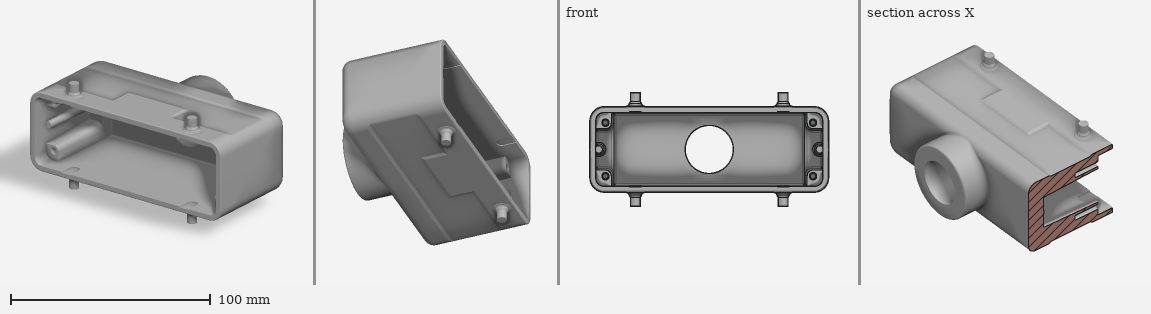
import cadquery as cq
import math


length = 120.0
height = 43.0
depth = 55.0
end_crown = 0.15
corner_radius = 7.5
back_round = 5.0
rim_round = 0.6

wall = 3.0
cavity_corner_radius = 4.0
cavity_draft = 0.5
floor_y = depth - wall
inner_round = 1.0

shelf_y = 45.0
shelf_x = 47.8
shelf_round = 1.3
shelf_foot_round = 0.8
boss_front_y = 9.5
boss_x = 49.1
boss_z = 10.4
boss_corner_radius = 2.7
boss_draft = 1.7
screw_x = 52.0
screw_z = 13.4
screw_diameter = 2.7
screw_mouth_diameter = 3.7
screw_depth = 15.0

rib_x = 55.4
rib_diameter = 3.7
rib_draft = 1.5
rib_foot_round = 0.8

entry_diameter = 41.0
entry_bore_diameter = 24.0
entry_end_y = 69.5
entry_edge_round = 1.0
entry_root_round = 0.8

pin_x = 37.0
pin_y = 6.5
pin_diameter = 5.0
pin_span = 57.0
collar_base_diameter = 9.4
collar_top_diameter = 6.3
collar_toe_diameter = 8.6
collar_toe_height = 0.3
collar_arc_height = 1.4
collar_height = 2.5
pin_slot_width = 5.8
pin_slot_depth = 0.4

recess_depth = 0.8
recess_floor_z = height / 2 - recess_depth
recess_slope_run = 1.7
recess_front_y = 15.0
recess_back_y = 40.4
tongue_half_width = 19.2
tongue_back_y = 27.8
tongue_corner_radius = 1.3
recess_end_round = 3.0

SIDES = (-1, 1)
edge_margin = 0.1
overlap = 1.0


def crowned_outline(half_length, half_height, radius):
    """Rounded rectangle whose end faces rise to a slight crest at Z = 0, on the Y = 0 plane."""
    end_x = half_length - end_crown
    return (
        cq.Sketch()
        .polygon([
            (-half_length, 0),
            (-end_x, half_height),
            (end_x, half_height),
            (half_length, 0),
            (end_x, -half_height),
            (-end_x, -half_height),
            (-half_length, 0),
        ])
        .vertices("<Y or >Y")
        .fillet(radius)
    )


def plane_facing_back(y):
    """XZ plane at the given Y whose normal points to +Y; its local axes are -X and +Z."""
    return cq.Plane(origin=(0, y, 0), xDir=(-1, 0, 0), normal=(0, 1, 0))


def place_in_quadrant(solid, side_x, side_z):
    """Mirror a solid built at +X +Z into the wanted quadrant."""
    if side_x < 0:
        solid = solid.mirror("YZ")
    if side_z < 0:
        solid = solid.mirror("XY")
    return solid


def make_shell():
    outline = crowned_outline(length / 2, height / 2, corner_radius)
    body = cq.Workplane(plane_facing_back(0)).placeSketch(outline).extrude(depth)
    body = body.faces(">Y").edges().fillet(back_round)
    return body.faces("<Y").edges().fillet(rim_round)


def make_cavity():
    outline = crowned_outline(length / 2 - wall, height / 2 - wall, cavity_corner_radius)
    cavity = cq.Workplane(plane_facing_back(0)).placeSketch(outline).extrude(floor_y, taper=cavity_draft)
    for side in SIDES:
        cavity = cavity.cut(make_shelf(side))
    return cavity.faces(">Y").edges().fillet(inner_round)


def make_shelf(side):
    """Block that raises the cavity floor at one end, with a rounded inner edge."""
    shelf = (
        cq.Workplane("XY")
        .box(length / 2 - shelf_x, depth - shelf_y, height, centered=(False, False, True))
        .translate((shelf_x, shelf_y, 0))
    )
    shelf = shelf.edges("<X and <Y").fillet(shelf_round)
    return shelf if side > 0 else shelf.mirror("YZ")


def make_boss(side_x, side_z):
    """Drafted corner block, rounded on its free corner, widening toward the floor."""
    boss = (
        cq.Workplane(plane_facing_back(boss_front_y))
        .moveTo(-length / 2, boss_z)
        .lineTo(-boss_x - boss_corner_radius, boss_z)
        .radiusArc((-boss_x, boss_z + boss_corner_radius), -boss_corner_radius)
        .lineTo(-boss_x, height / 2)
        .lineTo(-length / 2, height / 2)
        .close()
        .extrude(floor_y - boss_front_y + overlap, taper=-boss_draft)
    )
    return place_in_quadrant(boss, side_x, side_z)


def make_screw_hole(side_x, side_z):
    mouth_depth = (screw_mouth_diameter - screw_diameter) / 2
    profile = [
        (0, 0),
        (screw_mouth_diameter / 2, 0),
        (screw_diameter / 2, mouth_depth),
        (screw_diameter / 2, screw_depth),
        (0, screw_depth),
    ]
    hole = cq.Workplane("XY").polyline(profile).close().revolve(360, (0, 0), (0, 1))
    return hole.translate((side_x * screw_x, boss_front_y, side_z * screw_z))


def make_rib(side):
    """Drafted round rib half buried in an end wall, with a flared foot on the shelf."""
    rib_length = shelf_y - boss_front_y
    front_radius = rib_diameter / 2
    foot_radius = front_radius + rib_length * math.tan(math.radians(rib_draft))
    foot_start = rib_length - rib_foot_round
    rib = (
        cq.Workplane("XY")
        .lineTo(front_radius, 0)
        .lineTo(foot_radius, foot_start)
        .radiusArc((foot_radius + rib_foot_round, rib_length), -rib_foot_round)
        .lineTo(foot_radius + rib_foot_round, rib_length + overlap)
        .lineTo(0, rib_length + overlap)
        .close()
        .revolve(360, (0, 0), (0, 1))
    )
    return rib.translate((side * rib_x, boss_front_y, 0))


def make_entry():
    entry = cq.Workplane(plane_facing_back(floor_y)).circle(entry_diameter / 2).extrude(entry_end_y - floor_y)
    return entry.faces(">Y").edges().fillet(entry_edge_round)


def make_pin(side_x, side_z):
    """Pin with a flared collar, standing on a long face and rooted in the wall."""
    face_z = height / 2
    pin_radius = pin_diameter / 2
    base_radius = collar_base_diameter / 2
    toe_radius = collar_toe_diameter / 2
    top_radius = collar_top_diameter / 2
    pin = (
        cq.Workplane("XZ")
        .moveTo(0, face_z - overlap)
        .lineTo(base_radius, face_z - overlap)
        .lineTo(base_radius, face_z)
        .lineTo(toe_radius, face_z + collar_toe_height)
        .radiusArc((top_radius, face_z + collar_arc_height), toe_radius - top_radius)
        .lineTo(pin_radius, face_z + collar_height)
        .lineTo(pin_radius, pin_span / 2)
        .lineTo(0, pin_span / 2)
        .close()
        .revolve(360, (0, 0), (0, 1))
        .translate((pin_x, pin_y, 0))
    )
    return place_in_quadrant(pin, side_x, side_z)


def make_pin_slot(side_x, side_z):
    """Shallow round-ended slot in the cavity wall behind a pin, open at the rim."""
    slot = (
        cq.Workplane("XY")
        .center(pin_x, 0)
        .slot2D(2 * pin_y + pin_slot_width, pin_slot_width, 90)
        .extrude(height / 2 - wall + pin_slot_depth)
    )
    return place_in_quadrant(slot, side_x, side_z)


def recess_outline(grow):
    """Corner points of the recess, moved outward by the given distance."""
    end = length / 2 + overlap
    tongue = tongue_half_width - grow
    front = recess_front_y - grow
    back = recess_back_y + grow
    tongue_back = tongue_back_y - grow
    return [
        (-end, front),
        (-tongue, front),
        (-tongue, tongue_back),
        (tongue, tongue_back),
        (tongue, front),
        (end, front),
        (end, back),
        (-end, back),
    ]


def make_recess(side_z):
    """Cutter for a long face: flat floor around a raised tongue, bounded by sloped walls."""
    cutter = (
        cq.Workplane("XY")
        .workplane(offset=recess_floor_z)
        .polyline(recess_outline(0))
        .close()
        .workplane(offset=recess_depth)
        .polyline(recess_outline(recess_slope_run))
        .close()
        .loft(ruled=True)
    )
    tongue_corners = cq.selectors.BoxSelector(
        (-tongue_half_width, 0, 0), (tongue_half_width, tongue_back_y, height)
    )
    cutter = cutter.edges("not #Z").edges(tongue_corners).fillet(tongue_corner_radius)
    return cutter if side_z > 0 else cutter.mirror("XY")


def round_recess_ends(hood):
    """Round the edges where the recess floors run out through the shell corners."""
    corner_x = length / 2 - corner_radius
    low_z = recess_floor_z - edge_margin
    high_z = recess_floor_z + edge_margin
    for side_x in SIDES:
        for side_z in SIDES:
            run_out = cq.selectors.BoxSelector(
                (side_x * corner_x, recess_front_y, side_z * low_z),
                (side_x * length / 2, recess_back_y, side_z * high_z),
            )
            hood = hood.edges(run_out).edges("|Y").fillet(recess_end_round)
    return hood


def round_entry_root(hood):
    """Fillet the seam between the cable entry and the shell."""
    reach = entry_diameter / 2 + edge_margin
    seam = cq.selectors.BoxSelector((-reach, floor_y, -reach), (reach, depth + edge_margin, reach))
    return hood.edges(seam).fillet(entry_root_round)


def round_shelf_feet(hood):
    """Fillet the shelves where they meet the screw bosses and the end walls."""
    for side in SIDES:
        foot = cq.selectors.BoxSelector(
            (side * (boss_x + edge_margin), shelf_y - edge_margin, -boss_z),
            (side * length / 2, shelf_y + edge_margin, boss_z),
        )
        hood = hood.edges(foot).fillet(shelf_foot_round)
    return hood


def make_hood():
    shell = make_shell()
    hood = shell.union(make_entry())
    hood = round_entry_root(hood)
    hood = hood.cut(make_cavity())
    for side_x in SIDES:
        for side_z in SIDES:
            hood = hood.union(make_boss(side_x, side_z).intersect(shell))
    hood = round_shelf_feet(hood)
    for side_x in SIDES:
        hood = hood.union(make_rib(side_x).intersect(shell))
        for side_z in SIDES:
            hood = hood.cut(make_screw_hole(side_x, side_z))
            hood = hood.cut(make_pin_slot(side_x, side_z))
            hood = hood.union(make_pin(side_x, side_z))
    for side_z in SIDES:
        hood = hood.cut(make_recess(side_z))
    hood = round_recess_ends(hood)
    bore = cq.Workplane(plane_facing_back(0)).circle(entry_bore_diameter / 2).extrude(entry_end_y)
    return hood.cut(bore)


result = make_hood()